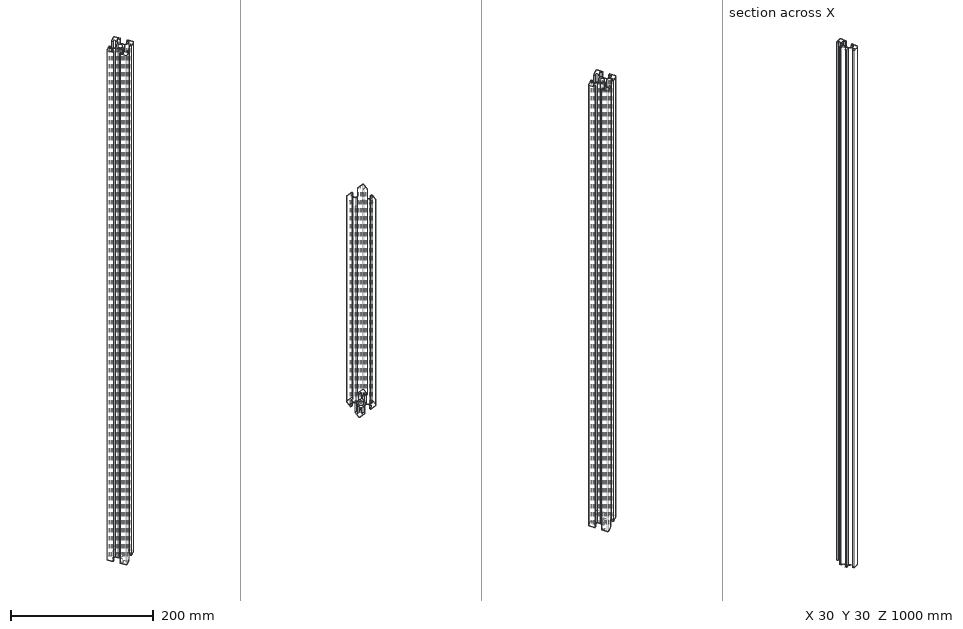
import math

import cadquery as cq

side = 30.0
length = 1000.0
corner_radius = 1.5
bore_diameter = 6.8

opening_width = 9.8
inner_width = 17.0
lip_tip_thickness = 2.9
lip_root_thickness = 2.1
straight_wall_depth = 4.9
floor_width = 10.0
floor_depth = 9.6

ridge_width = 3.8
ridge_slope = 15.0

slot_count = 4
half_side = side / 2


def make_blank():
    """Square bar with rounded long edges."""
    bar = cq.Workplane("XY").rect(side, side).extrude(length)
    return bar.edges("|Z").fillet(corner_radius)


def make_slot_cutter():
    """Full-length T-slot opening toward +Y."""
    half_opening = opening_width / 2
    half_inner = inner_width / 2
    floor_y = half_side - floor_depth
    ridge_height = ridge_width / 2 * math.tan(math.radians(ridge_slope))

    right_half = [
        (half_opening, half_side),
        (half_opening, half_side - lip_tip_thickness),
        (half_inner, half_side - lip_root_thickness),
        (half_inner, half_side - straight_wall_depth),
        (floor_width / 2, floor_y),
        (ridge_width / 2, floor_y),
    ]
    ridge_top = (0, floor_y + ridge_height)
    left_half = [(-x, y) for x, y in reversed(right_half)]
    outline = right_half + [ridge_top] + left_half
    return cq.Workplane("XY").polyline(outline).close().extrude(length)


def make_bore():
    """Round hole through the core, end to end."""
    return cq.Workplane("XY").circle(bore_diameter / 2).extrude(length)


result = make_blank()
slot_cutter = make_slot_cutter()
for index in range(slot_count):
    angle = index * 360 / slot_count
    result = result.cut(slot_cutter.rotate((0, 0, 0), (0, 0, 1), angle))
result = result.cut(make_bore())